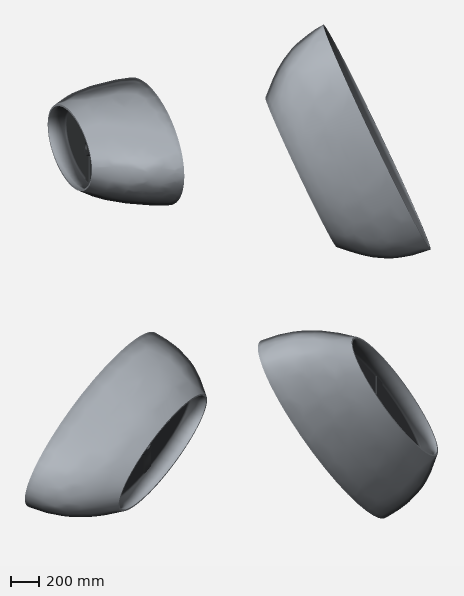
import cadquery as cq

length = 1800.0
width = 800.0
height = 600.0

outer_sections = [
    (0.0, 597.0, 275.0),
    (75.0, 670.0, 311.0),
    (207.0, 777.0, 350.0),
    (338.0, 845.0, 375.0),
    (468.0, 883.0, 392.0),
    (height, length / 2, width / 2),
]

wall = 18.0
floor_thickness = 22.0

base_ring = 15.0
recess_depth = 133.0
recess_fillet = 13.0
recess_x = outer_sections[0][1] - base_ring
recess_z = outer_sections[0][2] - base_ring

rib_foot_width = 100.0
rib_top_width = 80.0
rib_height = 7.0
boss_foot_radius = 75.0
boss_top_radius = 67.0
boss_height = 15.0
drain_radius = 27.0


def plane_at(y):
    """Workplane parallel to the base, facing away from the rim."""
    return cq.Workplane("XZ", origin=(0, y, 0))


def oval_wire(y, half_x, half_z):
    return plane_at(y).ellipse(half_x, half_z).wires().val()


def oval_body(sections):
    """Smooth body through ovals given as (y, half_x, half_z)."""
    wires = [oval_wire(*section) for section in sections]
    return cq.Workplane(obj=cq.Solid.makeLoft(wires))


def inset(sections):
    return [(y, half_x - wall, half_z - wall) for y, half_x, half_z in sections]


outer = oval_body(outer_sections)

floor_top = recess_depth + floor_thickness
above_floor = cq.Workplane("XY").box(length, height, width, centered=(True, False, True))
cavity = oval_body(inset(outer_sections)).intersect(above_floor.translate((0, floor_top, 0)))

recess = plane_at(0).ellipse(recess_x, recess_z).extrude(-recess_depth)
recess = recess.faces(">Y").edges().fillet(recess_fillet)

half_foot = rib_foot_width / 2
half_top = rib_top_width / 2
rib_top = recess_depth - rib_height
rib = (
    cq.Workplane("XY")
    .polyline([
        (-half_foot, recess_depth),
        (half_foot, recess_depth),
        (half_top, rib_top),
        (-half_top, rib_top),
    ])
    .close()
    .extrude(recess_z, both=True)
    .intersect(recess)
)

boss = (
    plane_at(recess_depth)
    .circle(boss_foot_radius)
    .workplane(offset=boss_height)
    .circle(boss_top_radius)
    .loft()
)

drain = plane_at(height).circle(drain_radius).extrude(height)

result = outer.cut(cavity).cut(recess.cut(rib).cut(boss)).cut(drain)